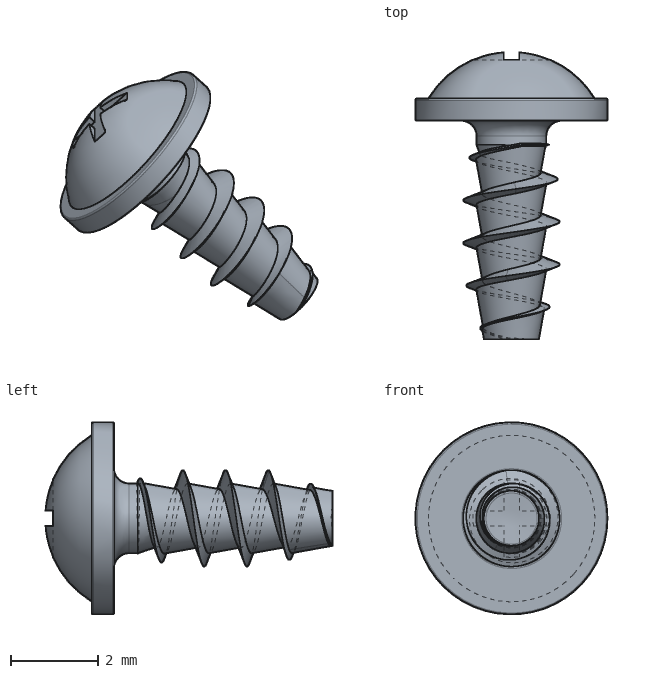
import cadquery as cq
import math

length = 6.57

flange_radius = 2.2
flange_top = 1.06
bearing_face = 1.57
flange_edge_fillet = 0.04
dome_base_radius = 1.905
slot_width = 0.35
slot_depth = 0.17

neck_radius = 0.8
neck_fillet = 0.34
neck_end = 2.115

pitch = 0.98
crest_at_plus_x = 2.9
crest_radius = 1.105
start_crest_radius = 0.905
end_crest_radius = 0.66
full_crest_from = 3.13
full_crest_to = 5.12
thread_end = 6.505
lead_in_turn = 0.47
head_flank_slope = 0.35
tip_flank_slope = 0.36
thread_root_radius = 0.56

core_taper = 0.18
core_crest_radius = 0.82
core_inner_radius = 0.525
core_turn_gap = 0.04
core_rod_radius = 0.625
runout_taper = 0.34
tip_radius = 0.63
dish_radius = 0.585
dish_depth = 0.04

full_turn = 2 * math.pi
points_per_turn = 24


def crest_angle(z):
    return full_turn * (z - crest_at_plus_x) / pitch


def crest_height(angle):
    return crest_at_plus_x + pitch * angle / full_turn


def blend(value, low, high, at_low, at_high):
    """Straight-line change from at_low to at_high as value runs from low to high."""
    return at_low + (value - low) / (high - low) * (at_high - at_low)


def revolved(points):
    """Solid of revolution about Z from (radius, z) corners."""
    return cq.Workplane("XZ").polyline(points).close().revolve(360, (0, 0), (0, 1))


def helical_body(profile, start_angle, end_angle):
    """Solid swept about Z by a polygon; profile(angle) gives its (radius, z) corners."""
    step_count = math.ceil(points_per_turn * (end_angle - start_angle) / full_turn)
    angles = [blend(i, 0, step_count, start_angle, end_angle) for i in range(step_count + 1)]
    paths = []
    for angle in angles:
        corners = [
            cq.Vector(radius * math.cos(angle), radius * math.sin(angle), z)
            for radius, z in profile(angle)
        ]
        paths.append(corners)
    rails = [cq.Edge.makeSpline(list(path)) for path in zip(*paths)]
    next_rails = rails[1:] + rails[:1]
    faces = [cq.Face.makeRuledSurface(a, b) for a, b in zip(rails, next_rails)]
    for end_corners in (paths[0], paths[-1]):
        faces.append(cq.Face.makeFromWires(cq.Wire.makePolygon(end_corners, close=True)))
    return cq.Workplane(cq.Solid.makeSolid(cq.Shell.makeShell(faces)).fix())


def make_head():
    corner_radius = slot_width / math.sqrt(2)
    center_z = (dome_base_radius**2 + flange_top**2 - corner_radius**2) / (2 * flange_top)
    sphere_radius = math.hypot(corner_radius, center_z)
    head = (
        cq.Workplane("XZ")
        .moveTo(0, center_z - sphere_radius)
        .radiusArc((dome_base_radius, flange_top), -sphere_radius)
        .lineTo(flange_radius - flange_edge_fillet, flange_top)
        .radiusArc((flange_radius, flange_top + flange_edge_fillet), -flange_edge_fillet)
        .lineTo(flange_radius, bearing_face - flange_edge_fillet)
        .radiusArc((flange_radius - flange_edge_fillet, bearing_face), -flange_edge_fillet)
        .lineTo(neck_radius + neck_fillet, bearing_face)
        .radiusArc((neck_radius, bearing_face + neck_fillet), neck_fillet)
        .lineTo(neck_radius, neck_end)
        .lineTo(0, neck_end)
        .close()
        .revolve(360, (0, 0), (0, 1))
    )
    slot_length = 2 * flange_radius
    for size in ((slot_length, slot_width), (slot_width, slot_length)):
        head = head.cut(cq.Workplane().box(*size, 2 * slot_depth))
    return head


def core_profile(angle):
    """One turn of the taper, starting and ending inside the thread above and below it."""
    crest = crest_height(angle)
    first = core_turn_gap / 2
    last = pitch - first
    return [
        (core_inner_radius, crest + first),
        (core_crest_radius - core_taper * first, crest + first),
        (core_crest_radius - core_taper * last, crest + last),
        (core_inner_radius, crest + last),
    ]


def make_core():
    taper = helical_body(core_profile, crest_angle(neck_end - pitch), crest_angle(length))
    trim_top_radius = tip_radius + core_taper * (length - neck_end)
    trim = revolved([(0, neck_end), (trim_top_radius, neck_end), (tip_radius, length), (0, length)])
    rod = cq.Workplane().workplane(offset=neck_end).circle(core_rod_radius).extrude(length - neck_end)
    core = rod.union(taper.intersect(trim))

    runout_end = neck_end + (neck_radius - core_inner_radius) / runout_taper
    runout = revolved(
        [(0, neck_end), (neck_radius, neck_end), (core_inner_radius, runout_end), (0, runout_end)]
    )
    return core.union(runout)


def ridge(crest, z):
    """Triangular thread section with its crest at height z."""
    height = crest - thread_root_radius
    return [
        (thread_root_radius, z - height * head_flank_slope),
        (crest, z),
        (thread_root_radius, z + height * tip_flank_slope),
    ]


def thread_span(z_from, z_to, crest_from, crest_to):
    """Stretch of thread whose crest radius changes evenly."""
    def profile(angle):
        z = crest_height(angle)
        return ridge(blend(z, z_from, z_to, crest_from, crest_to), z)

    return helical_body(profile, crest_angle(z_from), crest_angle(z_to))


def lead_in():
    """Start of the thread, rising out of the neck without climbing."""
    last = crest_angle(neck_end)
    first = last - lead_in_turn * full_turn

    def profile(angle):
        return ridge(blend(angle, first, last, neck_radius, start_crest_radius), neck_end)

    return helical_body(profile, first, last)


def make_threads():
    return [
        thread_span(neck_end, full_crest_from, start_crest_radius, crest_radius),
        thread_span(full_crest_from, full_crest_to, crest_radius, crest_radius),
        thread_span(full_crest_to, thread_end, crest_radius, end_crest_radius),
        lead_in(),
    ]


screw = make_core()
for thread in make_threads():
    screw = screw.union(thread)
screw = screw.union(make_head())

dish = revolved([(0, length - dish_depth), (dish_radius, length), (0, length)])
screw = screw.cut(dish)

result = screw.solids().rotate((0, 0, 0), (1, 0, 0), 90)